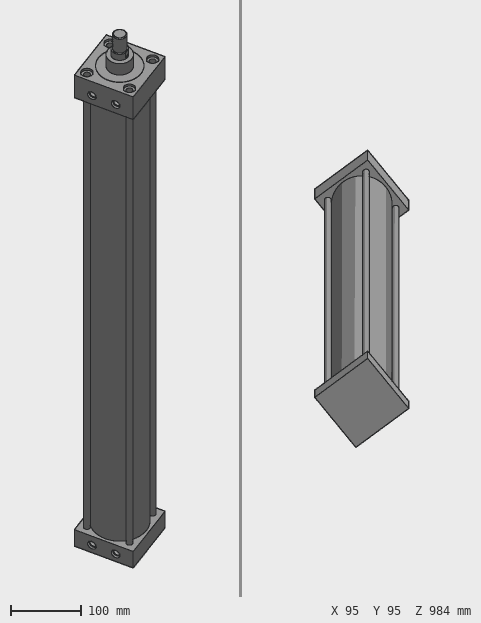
import cadquery as cq
import math

total_height = 984.0
rear_cap_height = 32.0
head_bottom = 877.0
head_top = 921.0
collar_top = 944.0
flats_bottom = 947.0
thread_start = 956.0

block_side = 95.0
tube_radius = 43.0
tie_rod_radius = 5.0
tie_rod_offset = 34.0
collar_radius = 20.0
gland_radius = 34.0
gland_step = 0.5

counterbore_radius = 9.0
counterbore_depth = 4.0
screw_hole_radius = 5.0
screw_hole_depth = 16.0

port_spacing = 38.0
port_mouth_radius = 7.0
port_mouth_depth = 4.0
port_radius = 5.0
port_depth = 15.0
head_port_height = 894.0
rear_port_height = 15.0

drill_half_angle = 59

rod_radius = 13.0
flats_width = 24.0
thread_diameter = 21.0
thread_chamfer = 1.5


def cylinder(radius, bottom, top):
    """Round column on the Z axis between two heights."""
    return cq.Workplane("XY").workplane(offset=bottom).circle(radius).extrude(top - bottom)


def square_block(bottom, top):
    """Square end block between two heights."""
    return cq.Workplane("XY").workplane(offset=bottom).rect(block_side, block_side).extrude(top - bottom)


def corner_points():
    """Plan positions of the four tie rod axes."""
    sides = (-tie_rod_offset, tie_rod_offset)
    return [(x, y) for x in sides for y in sides]


def stepped_drill(mouth_radius, mouth_depth, hole_radius, hole_depth):
    """Cutter for a counterbored blind hole with a drill-point floor, going down from the origin."""
    point_depth = hole_radius / math.tan(math.radians(drill_half_angle))
    profile = [
        (0, 0),
        (mouth_radius, 0),
        (mouth_radius, -mouth_depth),
        (hole_radius, -mouth_depth),
        (hole_radius, -hole_depth),
        (0, -hole_depth - point_depth),
    ]
    return cq.Workplane("XZ").polyline(profile).close().revolve(360, (0, 0), (0, 1))


def make_housing():
    """Rear cap, tube, tie rods, head and collar as one solid."""
    housing = square_block(0, rear_cap_height)
    housing = housing.union(cylinder(tube_radius, rear_cap_height, head_bottom))
    for x, y in corner_points():
        housing = housing.union(cylinder(tie_rod_radius, rear_cap_height, head_bottom).translate((x, y, 0)))
    housing = housing.union(square_block(head_bottom, head_top))

    housing = housing.union(cylinder(gland_radius, head_top, head_top + gland_step))
    housing = housing.union(cylinder(collar_radius, head_top, collar_top))

    screw_drill = stepped_drill(counterbore_radius, counterbore_depth, screw_hole_radius, screw_hole_depth)
    for x, y in corner_points():
        housing = housing.cut(screw_drill.translate((x, y, head_top)))

    port_drill = stepped_drill(port_mouth_radius, port_mouth_depth, port_radius, port_depth)
    port_drill = port_drill.rotate((0, 0, 0), (1, 0, 0), 90)
    for z in (rear_port_height, head_port_height):
        for x in (-port_spacing / 2, port_spacing / 2):
            housing = housing.cut(port_drill.translate((x, -block_side / 2, z)))
    return housing


def make_piston_rod():
    """Exposed rod end on the collar: a shank with two wrench flats and a chamfered thread."""
    shank = cylinder(rod_radius, collar_top, flats_bottom)
    flats_height = thread_start - flats_bottom
    flats_slab = cq.Workplane("XY").workplane(offset=flats_bottom).rect(flats_width, 2 * rod_radius)
    flatted_shank = cylinder(rod_radius, flats_bottom, thread_start).intersect(flats_slab.extrude(flats_height))
    thread = cylinder(thread_diameter / 2, thread_start, total_height).faces(">Z").chamfer(thread_chamfer)
    return shank.union(flatted_shank).union(thread)


housing = make_housing()
piston_rod = make_piston_rod()

result = cq.Compound.makeCompound([housing.val(), piston_rod.val()])